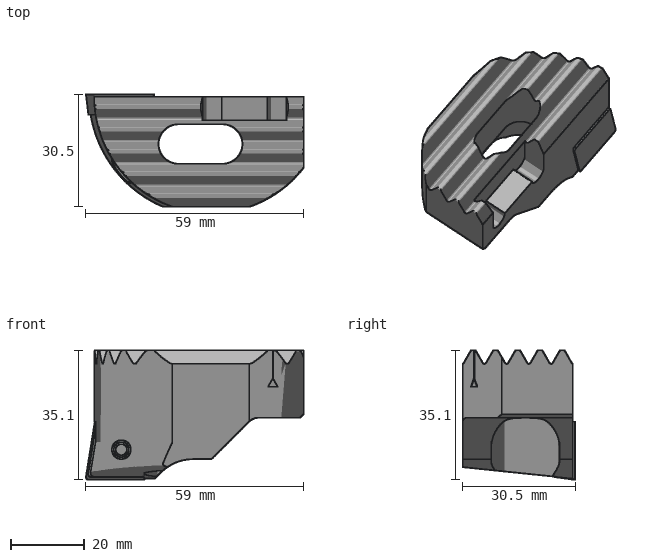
import cadquery as cq
import math


length = 59.0
height = 35.1
depth = 29.85
rim_radius = 31.6
rim_center_x = 33.85
skirt_top = 10.2
skirt_angle = 9.2
margin = 5.9

sole_back_height = 0.35
sole_angle = 5.9
sole_edge_radius = 1.0
toe_end_x = 18.65
waist_height = 5.6
waist_radius = 12.4
waist_end_x = 34.0
heel_height = 16.8
heel_radius = 4.0
heel_chamfer = 1.0

tooth_count = 5
tooth_pitch = 6.0
tooth_half_angle = 30.0
crest_width = 1.25
crest_radius = 0.35
valley_radius = 0.5

slot_center = (31.05, -12.85)
slot_spacing = 12.05
slot_radius = 5.3
seat_radius = 9.25
seat_height = heel_height

recess_center_x = 42.95
recess_width = 22.65
recess_depth = 6.4
recess_floor = 23.6
recess_groove_radius = 2.6
recess_flare = 0.55

mark_x = 50.6
mark_line_width = 0.2
mark_tip_height = 27.5
mark_arrow_width = 2.6
mark_arrow_height = 2.25
mark_depth = 0.1

insert_back_y = 0.6
insert_thickness = 5.55
insert_height = 15.8
insert_width = 16.2
insert_left_x = -0.1
insert_lean = 2.55
insert_side_taper = 0.55
insert_bottom_taper = 0.75
insert_top_taper = 0.1
insert_corner_radius = 0.75

pin_x = 9.6
pin_z = 8.2
pin_diameter = 4.1
pin_chamfer = 0.55
pin_end_y = -10.6
pin_access_diameter = 5.15

insert_front_y = insert_back_y - insert_thickness
flank_slope = math.tan(math.radians(tooth_half_angle))
valley_half_width = (tooth_pitch - crest_width) / 2
valley_floor = height - valley_half_width / flank_slope


def box(x_range, y_range, z_range):
    """Box between the given limits."""
    lows = (x_range[0], y_range[0], z_range[0])
    sizes = (x_range[1] - x_range[0], y_range[1] - y_range[0], z_range[1] - z_range[0])
    return cq.Workplane("XY").box(*sizes, centered=False).translate(lows)


def front_outline(y):
    """Workplane at the given Y with local axes along +X and +Z, extruding towards -Y."""
    return cq.Workplane("XZ", origin=(0, y, 0))


def rim_solid(offset=0.0):
    """Full disc of the rim, with the flared skirt below, its radii reduced by the offset."""
    radius = rim_radius - offset
    skirt_radius = radius + skirt_top * math.tan(math.radians(skirt_angle))
    profile = [(0, 0), (skirt_radius, 0), (radius, skirt_top), (radius, height), (0, height)]
    disc = cq.Workplane("XZ").polyline(profile).close().revolve(360, (0, 0), (0, 1))
    return disc.translate((rim_center_x, 0, 0))


def jaw_blank():
    """Rim cut to length and depth, with the sloping sole and its rounded edge."""
    blank = rim_solid().intersect(box((-margin, length), (-depth, 0), (0, height)))
    sole_front_height = sole_back_height + depth * math.tan(math.radians(sole_angle))
    wedge = (
        cq.Workplane("YZ", origin=(-margin, 0, 0))
        .polyline([(0, 0), (0, sole_back_height), (-depth, sole_front_height), (-depth, 0)])
        .close()
        .extrude(length + 2 * margin)
    )
    blank = blank.cut(wedge)
    return blank.edges("%ELLIPSE").fillet(sole_edge_radius)


def underside_cut():
    """Space under the waist and the heel: two 45 degree ramps, rounded where they level out."""
    ramp_foot_x = toe_end_x - sole_back_height - margin
    waist_start_x = toe_end_x + waist_height - sole_back_height
    heel_start_x = waist_end_x + heel_height - waist_height
    space = (
        front_outline(margin)
        .moveTo(ramp_foot_x, -margin)
        .lineTo(waist_start_x, waist_height)
        .lineTo(waist_end_x, waist_height)
        .lineTo(heel_start_x, heel_height)
        .lineTo(length - heel_chamfer, heel_height)
        .lineTo(length + margin, heel_height + heel_chamfer + margin)
        .lineTo(length + margin, -margin)
        .close()
        .extrude(depth + 2 * margin)
    )
    bends = [(waist_start_x, waist_height, waist_radius), (heel_start_x, heel_height, heel_radius)]
    for x, z, radius in bends:
        bend_edge = cq.selectors.NearestToPointSelector((x, -depth / 2, z))
        space = space.edges(bend_edge).fillet(radius)
    return space


def tooth_valley(center_y):
    """V groove along X between two teeth, rounded at its bottom."""
    top_half_width = valley_half_width + margin * flank_slope
    valley = (
        cq.Workplane("YZ", origin=(-margin, 0, 0))
        .polyline([
            (center_y, valley_floor),
            (center_y + top_half_width, height + margin),
            (center_y - top_half_width, height + margin),
        ])
        .close()
        .extrude(length + 2 * margin)
    )
    return valley.edges("<Z").fillet(valley_radius)


def toothed(jaw):
    """Jaw with the teeth cut into its top and every crest rounded."""
    first_valley_y = -depth / 2 + tooth_pitch * tooth_count / 2
    for i in range(tooth_count + 1):
        jaw = jaw.cut(tooth_valley(first_valley_y - i * tooth_pitch))
    return jaw.faces(">Z").edges().fillet(crest_radius)


def long_slot(radius, bottom, top):
    """Vertical slot with round ends, along X."""
    return (
        cq.Workplane("XY", origin=(*slot_center, bottom))
        .slot2D(slot_spacing + 2 * radius, 2 * radius)
        .extrude(top - bottom)
    )


def back_recess_cut():
    """Recess open to the back and top, with a round groove at each end of its floor."""
    half = recess_width / 2
    recess = (
        front_outline(0)
        .polyline([
            (recess_center_x - half, recess_floor),
            (recess_center_x + half, recess_floor),
            (recess_center_x + half, valley_floor),
            (recess_center_x + half + recess_flare, height),
            (recess_center_x - half - recess_flare, height),
            (recess_center_x - half, valley_floor),
        ])
        .close()
        .extrude(recess_depth)
    )
    groove_offset = half - recess_groove_radius
    grooves = (
        front_outline(0)
        .pushPoints([(recess_center_x + side * groove_offset, recess_floor) for side in (-1, 1)])
        .circle(recess_groove_radius)
        .extrude(recess_depth)
    )
    return recess.union(grooves)


def mark_cut():
    """Shallow line and arrowhead engraved in the rim."""
    half = mark_arrow_width / 2
    arrow_foot = mark_tip_height - mark_arrow_height
    mark = (
        front_outline(0)
        .polyline([(mark_x - half, arrow_foot), (mark_x + half, arrow_foot), (mark_x, mark_tip_height)])
        .close()
        .extrude(depth)
    )
    line_limits = (mark_x - mark_line_width / 2, mark_x + mark_line_width / 2)
    mark = mark.union(box(line_limits, (-depth, 0), (mark_tip_height - mark_line_width, height)))
    return mark.cut(rim_solid(mark_depth))


def insert_outline(y, side, bottom, top):
    """Corner points of the insert at one Y, drawn in by the given amounts."""
    def corner(z, from_left):
        x = insert_left_x + insert_lean * z / insert_height
        return cq.Vector(x + (side if from_left else insert_width - side), y, z)

    high = insert_height - top
    return [corner(bottom, True), corner(bottom, False), corner(high, False), corner(high, True)]


def make_insert():
    """Cutting insert with flat sides between its back face and its smaller front face."""
    back = insert_outline(insert_back_y, 0, 0, 0)
    front = insert_outline(insert_front_y, insert_side_taper, insert_bottom_taper, insert_top_taper)
    outlines = [back, front]
    for i in range(len(back)):
        outlines.append([back[i - 1], back[i], front[i], front[i - 1]])
    faces = [cq.Face.makeFromWires(cq.Wire.makePolygon(points, close=True)) for points in outlines]
    plate = cq.Workplane(cq.Solid.makeSolid(cq.Shell.makeShell(faces)))
    return plate.edges("not #Y").fillet(insert_corner_radius)


def y_cylinder(diameter, from_y, to_y):
    """Cylinder on the pin's axis, from one Y to a lower Y."""
    return front_outline(from_y).center(pin_x, pin_z).circle(diameter / 2).extrude(from_y - to_y)


def make_pin():
    """Pin that backs up the insert, with a chamfered front end."""
    pin = y_cylinder(pin_diameter, insert_front_y, pin_end_y)
    return pin.faces("<Y").chamfer(pin_chamfer)


def make_jaw(insert):
    """Toothed jaw with its slot, recess, mark, insert pocket and pin hole."""
    jaw = toothed(jaw_blank()).cut(underside_cut())
    jaw = jaw.cut(long_slot(slot_radius, 0, height))
    jaw = jaw.cut(long_slot(seat_radius, 0, seat_height))
    jaw = jaw.cut(back_recess_cut())
    jaw = jaw.cut(mark_cut())
    jaw = jaw.cut(y_cylinder(pin_diameter, insert_front_y, pin_end_y))
    jaw = jaw.cut(y_cylinder(pin_access_diameter, pin_end_y, -depth))
    pocket_opening = insert.translate((-insert_lean - insert_side_taper, 0, 0))
    return jaw.cut(insert).cut(pocket_opening)


insert = make_insert()
pin = make_pin()
jaw = make_jaw(insert)

result = cq.Compound.makeCompound([body.solids().val() for body in (jaw, insert, pin)])